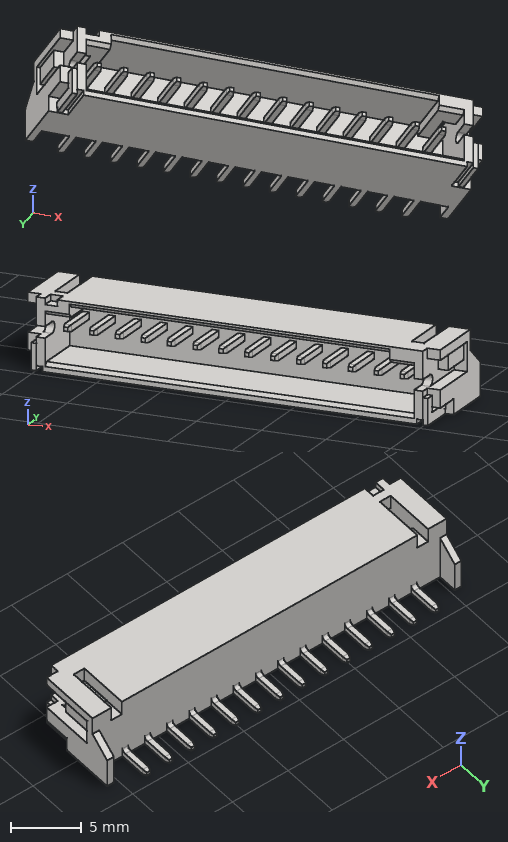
import cadquery as cq
import math

LENGTH = 31.9
HEIGHT = 5.5
BODY_DEPTH = 5.95
CORE_WIDTH = 29.9
WING_FRONT = 0.75
EAR_DEPTH = 7.62
EAR_THICKNESS = 0.6
EAR_SLOPE_TOP = 3.92
EAR_SLOPE_BOTTOM = 2.58

CAVITY_WIDTH = 28.52
CAVITY_DEPTH = 4.25
CAVITY_FLOOR = 0.7
LOW_CEILING = 4.25
HIGH_CEILING = 5.0
RAISED_WIDTH = 24.75
MOUTH_CHAMFER = 0.3

SLOT_WIDTH = 0.95
SLOT_FRONT = 1.72
NOTCH_DEPTH = 0.95

WINDOW_REAR = 5.33
WINDOW_BOTTOM = 2.52
WINDOW_TOP = 4.72
PAD_FRONT = 2.6
PAD_HEIGHT = 0.75
SIDE_SLOT_HEIGHT = 0.85
SIDE_SLOT_DEPTH = 1.65
TAB_RECESS_REAR = 3.03
TAB_RECESS_TOP = 1.18
RELIEF_WIDTH = 0.48
RELIEF_HEIGHT = 0.38

PIN_COUNT = 14
PIN_ROW_LENGTH = 26.0
PIN_PITCH = PIN_ROW_LENGTH / (PIN_COUNT - 1)
PIN_SIZE = 0.5
PIN_HEIGHT = 3.13
PIN_FRONT = 0.75
PIN_REAR = 8.6
PIN_TIP_LENGTH = 0.38
PIN_TIP_SIZE = 0.32
PIN_BEND_RADIUS = 0.3

TAB_THICKNESS = 0.38
TAB_UPRIGHT_HEIGHT = 2.05
TAB_ARM_HEIGHT = 0.8
TAB_CORNER_CUT = 0.1

SIDES = (-1, 1)
HALF_LENGTH = LENGTH / 2
HALF_CORE = CORE_WIDTH / 2
HALF_CAVITY = CAVITY_WIDTH / 2


def box(x_range, y_range, z_range):
    """Box spanning the given ranges; each range may be given in either order."""
    low, high = zip(*(sorted(limits) for limits in (x_range, y_range, z_range)))
    sizes = [end - start for start, end in zip(low, high)]
    return cq.Workplane("XY").box(*sizes, centered=False).translate(low)


def side_plate(points, x_start, thickness):
    """Extrude a (Y, Z) outline along +X from x_start."""
    return cq.Workplane("YZ", origin=(x_start, 0, 0)).polyline(points).close().extrude(thickness)


def make_shell():
    """Core block, end wings and the sloped ears behind the wings."""
    shell = box((-HALF_CORE, HALF_CORE), (0, BODY_DEPTH), (0, HEIGHT))
    ear_outline = [
        (BODY_DEPTH, 0),
        (EAR_DEPTH, 0),
        (EAR_DEPTH, EAR_SLOPE_BOTTOM),
        (BODY_DEPTH, EAR_SLOPE_TOP),
    ]
    for side in SIDES:
        wing = box((side * HALF_CORE, side * HALF_LENGTH), (WING_FRONT, BODY_DEPTH), (0, HEIGHT))
        ear_start = min(side * HALF_LENGTH, side * (HALF_LENGTH - EAR_THICKNESS))
        shell = shell.union(wing).union(side_plate(ear_outline, ear_start, EAR_THICKNESS))
    return shell


def cavity_section(width, ceiling):
    """Rectangular cavity with a chamfered lead-in along its floor and ceiling."""
    outline = [
        (0, CAVITY_FLOOR - MOUTH_CHAMFER),
        (MOUTH_CHAMFER, CAVITY_FLOOR),
        (CAVITY_DEPTH, CAVITY_FLOOR),
        (CAVITY_DEPTH, ceiling),
        (MOUTH_CHAMFER, ceiling),
        (0, ceiling + MOUTH_CHAMFER),
    ]
    return side_plate(outline, -width / 2, width)


def cut_cavity(body):
    full = cavity_section(CAVITY_WIDTH, LOW_CEILING)
    raised = cavity_section(RAISED_WIDTH, HIGH_CEILING)
    return body.cut(full).cut(raised)


def cut_top_openings(body):
    """Two slots open to the rear, and one polarity notch at the front on the -X end."""
    for side in SIDES:
        slot_x = (side * HALF_CAVITY, side * (HALF_CAVITY - SLOT_WIDTH))
        body = body.cut(box(slot_x, (SLOT_FRONT, BODY_DEPTH), (LOW_CEILING, HEIGHT)))
    notch_x = (-HALF_CAVITY, -HALF_CAVITY + SLOT_WIDTH)
    return body.cut(box(notch_x, (0, NOTCH_DEPTH), (HIGH_CEILING, HEIGHT)))


def cut_end_wall(body, side):
    """Window with its raised pad, round-ended side slot and solder tab recess of one end."""
    wing_x = (side * HALF_CORE, side * HALF_LENGTH)
    slot_top = WINDOW_BOTTOM + SIDE_SLOT_HEIGHT

    window = box(wing_x, (WING_FRONT, WINDOW_REAR), (WINDOW_BOTTOM, WINDOW_TOP))
    pad_x = (side * HALF_CORE, side * (HALF_CORE + PAD_HEIGHT))
    pad = box(pad_x, (PAD_FRONT, WINDOW_REAR), (slot_top, WINDOW_TOP))
    body = body.cut(window.cut(pad))

    slot_radius = SIDE_SLOT_HEIGHT / 2
    slot_straight = SIDE_SLOT_DEPTH - slot_radius
    wall_start = min(side * HALF_CAVITY, side * HALF_CORE)
    side_slot = (
        cq.Workplane("YZ", origin=(wall_start, 0, 0))
        .moveTo(0, WINDOW_BOTTOM)
        .lineTo(slot_straight, WINDOW_BOTTOM)
        .threePointArc((SIDE_SLOT_DEPTH, WINDOW_BOTTOM + slot_radius), (slot_straight, slot_top))
        .lineTo(0, slot_top)
        .close()
        .extrude(HALF_CORE - HALF_CAVITY)
    )
    body = body.cut(side_slot)

    tab_recess = box(wing_x, (WING_FRONT, TAB_RECESS_REAR), (0, TAB_RECESS_TOP))
    relief_x = (side * (HALF_CORE - RELIEF_WIDTH), side * HALF_CORE)
    relief = box(relief_x, (0, TAB_RECESS_REAR), (0, RELIEF_HEIGHT))
    return body.cut(tab_recess).cut(relief)


def tapered_tip(y_base, z_axis, direction):
    """Pyramid-shaped pin end growing from y_base along direction (+1 or -1) in Y."""
    base = cq.Plane(origin=(0, y_base, z_axis), xDir=(1, 0, 0), normal=(0, direction, 0))
    return (
        cq.Workplane(base)
        .rect(PIN_SIZE, PIN_SIZE)
        .workplane(offset=PIN_TIP_LENGTH)
        .rect(PIN_TIP_SIZE, PIN_TIP_SIZE)
        .loft(ruled=True)
    )


def make_pin():
    """Exposed ends of one pin, centred on X = 0: mating post in front and solder leg behind."""
    half = PIN_SIZE / 2
    post_start = PIN_FRONT + PIN_TIP_LENGTH
    leg_end = PIN_REAR - PIN_TIP_LENGTH
    post = box((-half, half), (post_start, CAVITY_DEPTH), (PIN_HEIGHT - half, PIN_HEIGHT + half))
    bend_middle = PIN_BEND_RADIUS * (1 - math.sqrt(0.5))
    leg = (
        cq.Workplane("YZ", origin=(-half, 0, 0))
        .moveTo(BODY_DEPTH, 0)
        .lineTo(leg_end, 0)
        .lineTo(leg_end, PIN_SIZE)
        .lineTo(BODY_DEPTH + PIN_BEND_RADIUS, PIN_SIZE)
        .threePointArc(
            (BODY_DEPTH + bend_middle, PIN_SIZE + bend_middle),
            (BODY_DEPTH, PIN_SIZE + PIN_BEND_RADIUS),
        )
        .close()
        .extrude(PIN_SIZE)
    )
    post = post.union(tapered_tip(post_start, PIN_HEIGHT, -1))
    leg = leg.union(tapered_tip(leg_end, half, 1))
    return post, leg


def add_pins(body):
    """Pins are one piece with the housing."""
    first_x = -PIN_ROW_LENGTH / 2
    for index in range(PIN_COUNT):
        for part in make_pin():
            body = body.union(part.translate((first_x + index * PIN_PITCH, 0, 0)))
    return body


def make_housing():
    housing = cut_top_openings(cut_cavity(make_shell()))
    for side in SIDES:
        housing = cut_end_wall(housing, side)
    return add_pins(housing)


def make_solder_tab(side):
    """L-shaped plate: an upright in front of the wing and a low arm inside the wing recess."""
    outline = [
        (0, 0),
        (TAB_RECESS_REAR - TAB_CORNER_CUT, 0),
        (TAB_RECESS_REAR - TAB_CORNER_CUT, RELIEF_HEIGHT),
        (TAB_RECESS_REAR, RELIEF_HEIGHT),
        (TAB_RECESS_REAR, TAB_ARM_HEIGHT),
        (WING_FRONT, TAB_ARM_HEIGHT),
        (WING_FRONT, TAB_UPRIGHT_HEIGHT),
        (0, TAB_UPRIGHT_HEIGHT),
    ]
    tab_start = min(side * HALF_CORE, side * (HALF_CORE + TAB_THICKNESS))
    return side_plate(outline, tab_start, TAB_THICKNESS)


housing = make_housing()
solder_tabs = [make_solder_tab(side) for side in SIDES]

result = cq.Compound.makeCompound([housing.val(), *[tab.val() for tab in solder_tabs]])